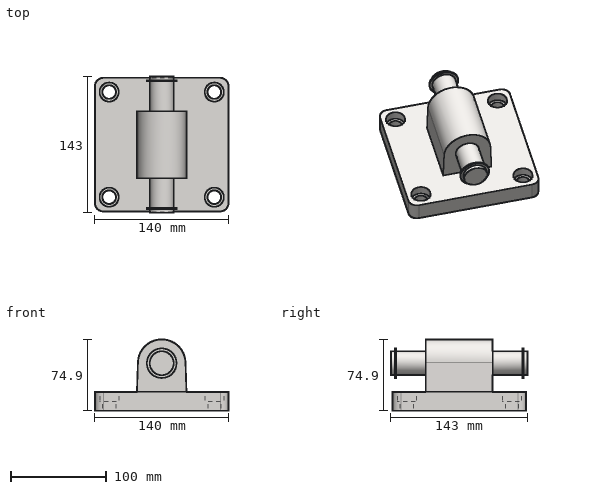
import cadquery as cq
import math

plate_side = 140.0
plate_thickness = 20.0
corner_radius = 9.0

hole_spacing = 110.0
hole_diameter = 14.0
counterbore_diameter = 20.0
counterbore_depth = 10.0

block_foot_width = 52.0
block_length = 70.0
block_top_radius = 25.0
axis_height = 49.9

pin_diameter = 25.0
pin_length = 143.0
ring_diameter = 31.0
ring_thickness = 1.5
ring_end_gap = 4.0


def cylinder_along_y(diameter, length, center_y=0.0):
    """Cylinder on the pin axis, centred at the given Y."""
    return (
        cq.Workplane("XZ", origin=(0, center_y, axis_height))
        .circle(diameter / 2)
        .extrude(length / 2, both=True)
    )


def make_plate():
    return (
        cq.Workplane("XY")
        .box(plate_side, plate_side, plate_thickness, centered=(True, True, False))
        .edges("|Z")
        .fillet(corner_radius)
        .faces(">Z")
        .workplane()
        .rect(hole_spacing, hole_spacing, forConstruction=True)
        .vertices()
        .cboreHole(hole_diameter, counterbore_diameter, counterbore_depth)
    )


def make_block():
    foot_x = block_foot_width / 2
    foot_drop = axis_height - plate_thickness
    foot_distance = math.hypot(foot_x, foot_drop)
    tangent_angle = math.acos(block_top_radius / foot_distance) - math.atan2(foot_drop, foot_x)
    tangent_x = block_top_radius * math.cos(tangent_angle)
    tangent_z = axis_height + block_top_radius * math.sin(tangent_angle)
    return (
        cq.Workplane("XZ")
        .moveTo(-foot_x, plate_thickness)
        .lineTo(foot_x, plate_thickness)
        .lineTo(tangent_x, tangent_z)
        .threePointArc((0, axis_height + block_top_radius), (-tangent_x, tangent_z))
        .close()
        .extrude(block_length / 2, both=True)
    )


def make_pin():
    pin = cylinder_along_y(pin_diameter, pin_length)
    ring_y = pin_length / 2 - ring_end_gap - ring_thickness / 2
    for side in (-1, 1):
        pin = pin.union(cylinder_along_y(ring_diameter, ring_thickness, side * ring_y))
    return pin


result = make_plate().union(make_block()).union(make_pin())